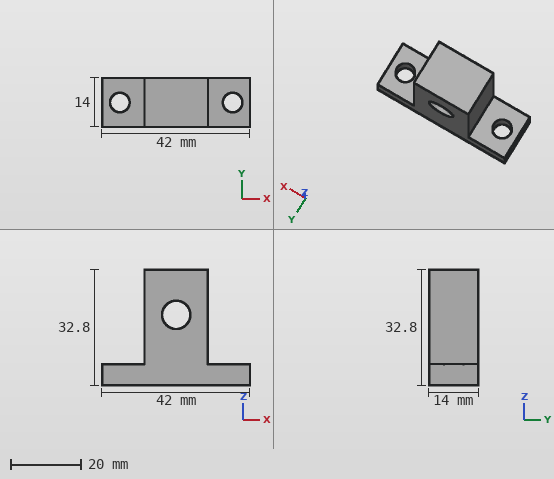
import cadquery as cq

base_length = 42
depth = 14.0
base_thickness = 6.0
bolt_hole_diameter = 5.5
bolt_hole_spacing = 32.0

total_height = 32.8
block_width = 18.0
bore_diameter = 8
bore_height = 20.0

rests_on_bottom = (True, True, False)
base = cq.Workplane("XY").box(base_length, depth, base_thickness, centered=rests_on_bottom)
block = cq.Workplane("XY").box(block_width, depth, total_height, centered=rests_on_bottom)

bore = (
    cq.Workplane("XZ")
    .center(0, bore_height)
    .circle(bore_diameter / 2)
    .extrude(depth / 2, both=True)
)

bolt_holes = (
    cq.Workplane("XY")
    .pushPoints([(side * bolt_hole_spacing / 2, 0) for side in (-1, 1)])
    .circle(bolt_hole_diameter / 2)
    .extrude(base_thickness)
)

result = base.union(block).cut(bore).cut(bolt_holes)